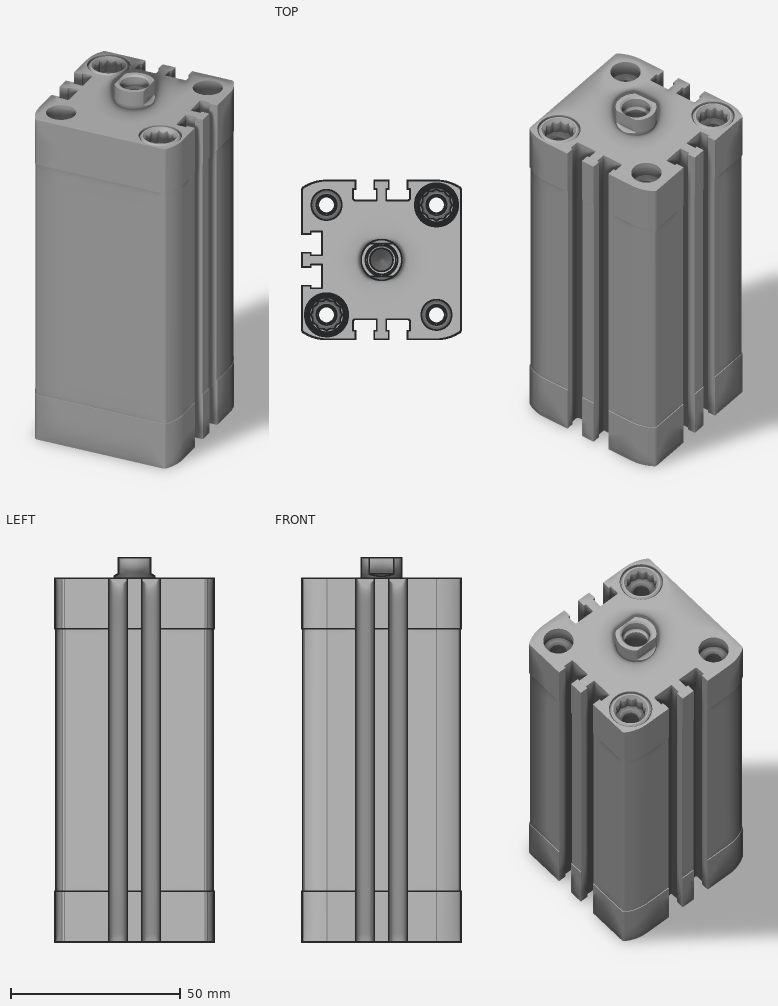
import cadquery as cq
import math

width = 47.0
total_height = 113.5
rod_projection = 6.0
housing_height = total_height - rod_projection
half_width = width / 2

cap_height = 15.0
barrel_inset = 0.2
corner_radius = 12.5
corner_start = 16.2
corner_blend = 0.9

slot_offset = 4.9
slot_mouth_width = 5.5
slot_inner_width = 6.9
slot_lip = 2.6
slot_depth = 5.9
slot_corner_chamfer = 0.3

hole_spacing = 32.5
through_diameter = 4.9
lead_in_diameter = 6.0
plain_counterbore_diameter = 9.0
plain_counterbore_depth = 4.8

groove_diameter = 12.8
groove_depth = 1.1
head_diameter = 11.9
head_chamfer = 0.5
socket_mouth_diameter = 10.2
socket_mouth_angle = 60
socket_bore_diameter = 8.4
socket_across_flats = 8.1
hexagon_sides = 6
socket_depth = 4.8

rod_diameter = 12.0
flat_width = 9.5
flat_length = 4.8
flat_runout_slope = 30
rod_bottom = cap_height
thread_mouth_diameter = 9.5
thread_relief_diameter = 8.5
thread_relief_depth = 3.5
thread_diameter = 6.8
thread_depth = 11.4
drill_tip_angle = 120


def rounded_prism(inset, bottom, top):
    """Square column with corner arcs tangent to the +Y and -Y faces and blended into the sides."""
    half = half_width - inset
    reach = half - corner_start
    drop = corner_radius - math.sqrt(corner_radius**2 - reach**2)
    mid_angle = math.asin(reach / corner_radius) / 2
    mid_x = corner_start + corner_radius * math.sin(mid_angle)
    mid_y = half - corner_radius * (1 - math.cos(mid_angle))
    outline = (
        cq.Workplane("XY", origin=(0, 0, bottom))
        .moveTo(-corner_start, half)
        .lineTo(corner_start, half)
        .threePointArc((mid_x, mid_y), (half, half - drop))
        .lineTo(half, drop - half)
        .threePointArc((mid_x, -mid_y), (corner_start, -half))
        .lineTo(-corner_start, -half)
        .threePointArc((-mid_x, -mid_y), (-half, drop - half))
        .lineTo(-half, half - drop)
        .threePointArc((-mid_x, mid_y), (-corner_start, half))
        .close()
    )
    prism = outline.extrude(top - bottom)
    return prism.edges("|Z and (<X or >X)").fillet(corner_blend)


def slot_pair(chamfered):
    """Two T-slots at the +Y face, with their outer bottom corners chamfered if asked."""
    inner_height = slot_depth - slot_lip
    pair = cq.Workplane("XY")
    for side in (-1, 1):
        mouth = (
            cq.Workplane("XY")
            .center(side * slot_offset, half_width - slot_depth / 2)
            .rect(slot_mouth_width, slot_depth)
            .extrude(housing_height)
        )
        inner = (
            cq.Workplane("XY")
            .center(side * slot_offset, half_width - slot_depth + inner_height / 2)
            .rect(slot_inner_width, inner_height)
            .extrude(housing_height)
        )
        if chamfered:
            outer_side = ">X" if side > 0 else "<X"
            inner = inner.faces(outer_side).edges("|Z and <Y").chamfer(slot_corner_chamfer)
        pair = pair.add(mouth.union(inner))
    return pair.combine()


def turned(points):
    """Solid of revolution about Z from a closed profile of (radius, height) points."""
    return cq.Workplane("XZ").polyline(points).close().revolve(360, (0, 0, 0), (0, 1, 0))


def through_hole(floor):
    """Through hole, widened at 45 degrees just below the given floor."""
    radius = through_diameter / 2
    lead_radius = lead_in_diameter / 2
    return turned(
        [
            (0, 0),
            (radius, 0),
            (radius, floor - (lead_radius - radius)),
            (lead_radius, floor),
            (0, floor),
        ]
    )


def plain_hole():
    """Through hole with a plain counterbore."""
    floor = housing_height - plain_counterbore_depth
    counterbore = (
        cq.Workplane("XY", origin=(0, 0, floor))
        .circle(plain_counterbore_diameter / 2)
        .extrude(plain_counterbore_depth)
    )
    return through_hole(floor).union(counterbore)


def head_groove():
    """Ring groove around a screw head, opened up by the chamfer on the head."""
    groove_radius = groove_diameter / 2
    head_radius = head_diameter / 2
    return turned(
        [
            (head_radius, housing_height - groove_depth),
            (groove_radius, housing_height - groove_depth),
            (groove_radius, housing_height),
            (head_radius - head_chamfer, housing_height),
            (head_radius, housing_height - head_chamfer),
        ]
    )


def twelve_point_socket():
    """Bored socket with twelve points, made by two hexagons, below a conical mouth."""
    floor = housing_height - socket_depth
    mouth_radius = socket_mouth_diameter / 2
    cone_height = mouth_radius / math.tan(math.radians(socket_mouth_angle / 2))
    cone = turned([(0, housing_height - cone_height), (mouth_radius, housing_height), (0, housing_height)])
    socket = cq.Workplane("XY", origin=(0, 0, floor)).circle(socket_bore_diameter / 2).extrude(socket_depth)
    hexagon_diameter = socket_across_flats / math.cos(math.pi / hexagon_sides)
    for turn in (0, 180 / hexagon_sides):
        hexagon = (
            cq.Workplane("XY", origin=(0, 0, floor))
            .polygon(hexagon_sides, hexagon_diameter)
            .extrude(socket_depth)
            .rotate((0, 0, 0), (0, 0, 1), turn)
        )
        socket = socket.union(hexagon)
    return socket.union(cone)


def screw_hole():
    """Through hole below a twelve-point socket."""
    floor = housing_height - socket_depth
    return through_hole(floor).union(twelve_point_socket())


def make_rod():
    """Piston rod with two wrench flats and a blind threaded bore."""
    radius = rod_diameter / 2
    rod = cq.Workplane("XY", origin=(0, 0, rod_bottom)).circle(radius).extrude(total_height - rod_bottom)

    flat_bottom = total_height - flat_length
    flat_depth = radius - flat_width / 2
    runout_height = flat_depth * math.tan(math.radians(flat_runout_slope))
    flat_profile = [
        (flat_width / 2, total_height),
        (flat_width / 2, flat_bottom),
        (radius, flat_bottom - runout_height),
        (radius, total_height),
    ]
    flat_cut = cq.Workplane("YZ").polyline(flat_profile).close().extrude(radius, both=True)
    rod = rod.cut(flat_cut).cut(flat_cut.mirror("XZ"))

    mouth_radius = thread_mouth_diameter / 2
    relief_radius = thread_relief_diameter / 2
    thread_radius = thread_diameter / 2
    relief_floor = total_height - thread_relief_depth
    thread_floor = total_height - thread_depth
    drill_slope = math.tan(math.radians(drill_tip_angle / 2))
    tip_height = thread_radius / drill_slope
    shoulder_height = (relief_radius - thread_radius) / drill_slope
    bore = turned(
        [
            (0, thread_floor - tip_height),
            (thread_radius, thread_floor),
            (thread_radius, relief_floor - shoulder_height),
            (relief_radius, relief_floor),
            (relief_radius, total_height - (mouth_radius - relief_radius)),
            (mouth_radius, total_height),
            (0, total_height),
        ]
    )
    return rod.cut(bore)


def make_housing():
    """Barrel between two end caps, with slots, mounting holes and the rod bore."""
    barrel_top = housing_height - cap_height
    housing = rounded_prism(barrel_inset, cap_height, barrel_top)
    housing = housing.union(rounded_prism(0, 0, cap_height))
    housing = housing.union(rounded_prism(0, barrel_top, housing_height))
    chamfered_slots = slot_pair(True)
    housing = housing.cut(chamfered_slots).cut(chamfered_slots.mirror("XZ"))
    housing = housing.cut(slot_pair(False).rotate((0, 0, 0), (0, 0, 1), 90))
    offset = hole_spacing / 2
    for side in (-1, 1):
        screw_place = (side * offset, side * offset, 0)
        housing = housing.cut(screw_hole().translate(screw_place))
        housing = housing.cut(head_groove().translate(screw_place))
        housing = housing.cut(plain_hole().translate((-side * offset, side * offset, 0)))
    rod_bore = (
        cq.Workplane("XY", origin=(0, 0, rod_bottom))
        .circle(rod_diameter / 2)
        .extrude(housing_height - rod_bottom)
    )
    return housing.cut(rod_bore)


housing = make_housing()
rod = make_rod()
result = cq.Compound.makeCompound([housing.val(), rod.val()])